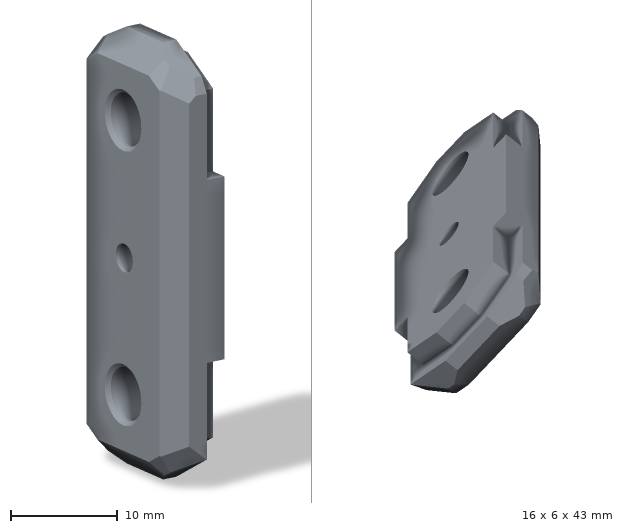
import cadquery as cq
import math

width = 16.0
length = 43.0
plate_thickness = 4.0
end_flat_width = 6.0
taper_slope = 0.6

side_bevel = 2.0
end_bevel = 2.5
taper_bevel = 1.5
corner_break = 1.0

pad_thickness = 2.0
pad_length = 39.3
pad_end_flat_width = 4.0
pad_narrow_width = 12.3
pad_wide_length = 18.0

screw_diameter = 5.2
screw_countersink = 0.4
screw_spacing = 27.0
pin_diameter = 2.8
pin_offset_x = 0.2

total_thickness = plate_thickness + pad_thickness


def shoulder_height(slab_width, slab_length, flat_width):
    """Z where the upper tapers of a slab meet its sides."""
    return slab_length / 2 - (slab_width - flat_width) / 2 * taper_slope


def tapered_slab(slab_width, slab_length, flat_width, front_y, thickness):
    """Slab with tapered ends, reaching from front_y toward +Y."""
    half_w = slab_width / 2
    half_l = slab_length / 2
    half_flat = flat_width / 2
    shoulder_z = shoulder_height(slab_width, slab_length, flat_width)
    outline = [
        (half_flat, half_l),
        (half_w, shoulder_z),
        (half_w, -shoulder_z),
        (half_flat, -half_l),
        (-half_flat, -half_l),
        (-half_w, -shoulder_z),
        (-half_w, shoulder_z),
        (-half_flat, half_l),
    ]
    front_plane = cq.Workplane("XZ", origin=(0, front_y, 0))
    return front_plane.polyline(outline).close().extrude(-thickness)


def plate_taper_normal(side, end):
    """Outward normal of the plate taper at the given X side and Z end."""
    return cq.Vector(side * taper_slope, 0, end).normalized()


def plate_shoulder(side, end):
    """Point on the front plane where an unbevelled taper would meet the side."""
    return cq.Vector(side * width / 2, 0, end * shoulder_height(width, length, end_flat_width))


def edge_trimmer(edge_point, normal_a, normal_b, setback):
    """Block that bevels the edge between two planes by an equal setback on both."""
    outward = (normal_a + normal_b).normalized()
    half_angle = normal_a.getAngle(normal_b) / 2
    bevel_point = edge_point - outward * (setback * math.sin(half_angle))
    bevel_plane = cq.Plane(origin=bevel_point, normal=outward)
    return cq.Workplane(bevel_plane).rect(2 * length, 2 * length).extrude(length)


def bevel_tapers(plate):
    """Bevel each tapered end face against the front face and the side bevel."""
    front_normal = cq.Vector(0, -1, 0)
    for side in (1, -1):
        for end in (1, -1):
            taper_normal = plate_taper_normal(side, end)
            side_bevel_normal = cq.Vector(side, -1, 0).normalized()
            front_corner = plate_shoulder(side, end)
            side_bevel_corner = front_corner + cq.Vector(0, side_bevel, 0)
            plate = plate.cut(edge_trimmer(front_corner, taper_normal, front_normal, taper_bevel))
            plate = plate.cut(
                edge_trimmer(side_bevel_corner, taper_normal, side_bevel_normal, taper_bevel)
            )
    return plate


def break_corners(plate):
    """Break the side-to-taper corners, leaving the (+X, -Z) one sharp."""
    for side, end in ((1, 1), (-1, 1), (-1, -1)):
        taper_normal = plate_taper_normal(side, end)
        side_normal = cq.Vector(side, 0, 0)
        corner = plate_shoulder(side, end)
        plate = plate.cut(edge_trimmer(corner, taper_normal, side_normal, corner_break))
    return plate


def make_plate():
    plate = tapered_slab(width, length, end_flat_width, 0, plate_thickness)
    plate = plate.faces("<X or >X").edges("<Y").chamfer(side_bevel)
    plate = plate.faces("<Z or >Z").edges("<Y").chamfer(end_bevel)
    return break_corners(bevel_tapers(plate))


def make_pad():
    """Narrow tapered pad with a full-width block across its middle."""
    pad = tapered_slab(
        pad_narrow_width, pad_length, pad_end_flat_width, plate_thickness, pad_thickness
    )
    middle = cq.Workplane("XY").box(
        width, pad_thickness, pad_wide_length, centered=(True, False, True)
    )
    return pad.union(middle.translate((0, plate_thickness, 0)))


def screw_hole_cutter(z):
    """Through hole with a small countersink on the front face."""
    radius = screw_diameter / 2
    front = cq.Workplane("XZ", origin=(0, 0, z))
    bore = front.circle(radius).extrude(-total_thickness)
    countersink = cq.Solid.makeCone(
        radius + screw_countersink,
        radius,
        screw_countersink,
        pnt=cq.Vector(0, 0, z),
        dir=cq.Vector(0, 1, 0),
    )
    return bore.union(cq.Workplane(countersink))


def pin_hole_cutter():
    front = cq.Workplane("XZ", origin=(pin_offset_x, 0, 0))
    return front.circle(pin_diameter / 2).extrude(-total_thickness)


body = make_plate().union(make_pad())
for screw_z in (screw_spacing / 2, -screw_spacing / 2):
    body = body.cut(screw_hole_cutter(screw_z))

result = body.cut(pin_hole_cutter())